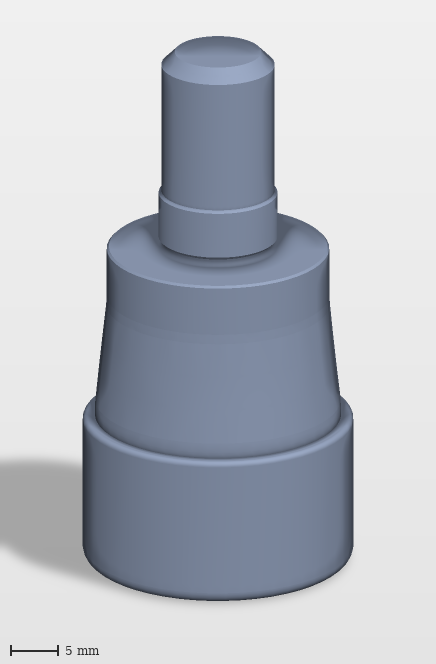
import cadquery as cq

cap_radius = 14.28
cap_height = 16.0
cap_bottom_fillet = 1.25
cap_top_fillet = 0.5

total_height = 57.0
shoulder_z = 35.0
shoulder_radius = 11.75
shoulder_chamfer = 0.2
foot_radius = 13.0
taper_top_z = 29.0
taper_bottom_z = 17.15
taper_blend_radius = 10.0

neck_radius = 5.75
neck_fillet = 0.5
collar_radius = 6.25
collar_bottom_z = 35.8
collar_top_z = 41.4
collar_chamfer = 0.35
shank_radius = 6.0
shank_chamfer = 1.4


def disc(radius, bottom_z, top_z):
    """Vertical cylinder between two heights."""
    return cq.Workplane("XY").workplane(offset=bottom_z).circle(radius).extrude(top_z - bottom_z)


def make_cap():
    """Plain round cap with rounded rims, its flat top carrying the stud."""
    cap = disc(cap_radius, 0, cap_height)
    return cap.faces("<Z").edges().fillet(cap_bottom_fillet).faces(">Z").edges().fillet(cap_top_fillet)


def make_tapered_body():
    """Turned body: straight foot, blended taper and straight shoulder."""
    body = (
        cq.Workplane("XZ")
        .moveTo(0, cap_height)
        .lineTo(foot_radius, cap_height)
        .lineTo(foot_radius, taper_bottom_z)
        .lineTo(shoulder_radius, taper_top_z)
        .lineTo(shoulder_radius, shoulder_z)
        .lineTo(0, shoulder_z)
        .close()
        .revolve(360, (0, 0, 0), (0, 1, 0))
    )
    taper_ends = body.edges("%CIRCLE").edges("(not >Z) and (not <Z)")
    return taper_ends.fillet(taper_blend_radius).faces(">Z").edges().chamfer(shoulder_chamfer)


def make_neck():
    """Short neck flaring down onto the shoulder with a concave fillet."""
    flare_radius = neck_radius + neck_fillet
    flare_top_z = shoulder_z + neck_fillet
    diagonal_offset = neck_fillet * 0.5**0.5
    return (
        cq.Workplane("XZ")
        .moveTo(0, shoulder_z)
        .lineTo(flare_radius, shoulder_z)
        .threePointArc(
            (flare_radius - diagonal_offset, flare_top_z - diagonal_offset),
            (neck_radius, flare_top_z),
        )
        .lineTo(neck_radius, collar_bottom_z)
        .lineTo(0, collar_bottom_z)
        .close()
        .revolve(360, (0, 0, 0), (0, 1, 0))
    )


def make_stud():
    """Tapered body, neck, collar and shank turned in one piece."""
    collar = disc(collar_radius, collar_bottom_z, collar_top_z)
    collar = collar.faces("<Z").edges().chamfer(collar_chamfer)
    collar = collar.faces(">Z").edges().chamfer(collar_radius - shank_radius)
    shank = disc(shank_radius, collar_top_z, total_height).faces(">Z").edges().chamfer(shank_chamfer)
    return make_tapered_body().union(make_neck()).union(collar).union(shank)


cap = make_cap()
stud = make_stud()

result = cq.Compound.makeCompound([*cap.solids().vals(), *stud.solids().vals()])